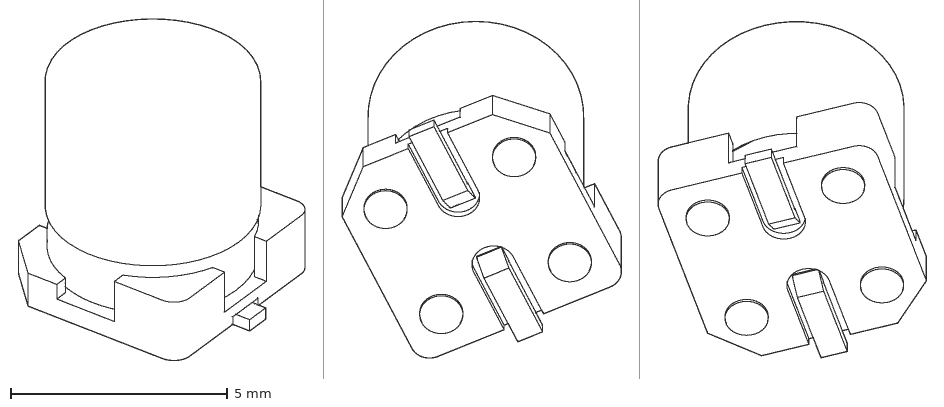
import cadquery as cq

lead_span = 6.0
base_side = 5.3
total_height = 5.8

base_bottom = 0.145
corner_top = 1.05
wall_top = 1.745
notch_floor = 0.65
notch_width = 1.645
corner_chamfer = 1.0
corner_radius = 0.45

can_diameter = 5.0
neck_diameter = 4.45
collar_diameter = 4.9
rim_radius = 0.25
collar_shoulder = 1.48
neck_bottom = 1.79
neck_top = 1.88
barrel_bottom = 2.18

foot_diameter = 1.0
foot_bottom = 0.07
foot_spacing_y = 3.275
foot_x_positions = (-1.435, 1.64)

lead_width = 0.635
lead_thickness = 0.31
lead_heel_x = 1.135
lead_bend_run = 0.19
pocket_width = 1.0
pocket_roof = 0.355
pocket_end_x = 0.48


def make_base():
    """Square base with two chamfered and two rounded corners and a round seat for the can."""
    block = (
        cq.Workplane("XY", origin=(0, 0, base_bottom))
        .rect(base_side, base_side)
        .extrude(wall_top - base_bottom)
        .edges("|Z and <X").chamfer(corner_chamfer)
        .edges("|Z and >X").fillet(corner_radius)
    )

    step_x = notch_width / 2
    low_length = base_side / 2 + step_x
    low_side = (
        cq.Workplane("XY", origin=(step_x - low_length / 2, 0, corner_top))
        .rect(low_length, base_side)
        .extrude(wall_top - corner_top)
    )

    notches = (
        cq.Workplane("XY", origin=(0, 0, notch_floor))
        .rect(base_side, notch_width)
        .extrude(wall_top - notch_floor)
    )
    notches = notches.union(notches.rotate((0, 0, 0), (0, 0, 1), 90))

    seat = (
        cq.Workplane("XY", origin=(0, 0, notch_floor))
        .circle(collar_diameter / 2)
        .extrude(wall_top - notch_floor)
    )
    return block.cut(low_side).cut(notches).cut(seat)


def make_can():
    """Revolved can: rounded ends and a neck joined to collar and barrel by S-curves."""
    barrel_r = can_diameter / 2
    collar_r = collar_diameter / 2
    neck_r = neck_diameter / 2
    collar_mid = ((collar_r + neck_r) / 2, (collar_shoulder + neck_bottom) / 2)
    barrel_mid = ((barrel_r + neck_r) / 2, (barrel_bottom + neck_top) / 2)
    return (
        cq.Workplane("XZ")
        .moveTo(0, notch_floor)
        .lineTo(collar_r - rim_radius, notch_floor)
        .tangentArcPoint((collar_r, notch_floor + rim_radius), relative=False)
        .lineTo(collar_r, collar_shoulder)
        .tangentArcPoint(collar_mid, relative=False)
        .tangentArcPoint((neck_r, neck_bottom), relative=False)
        .lineTo(neck_r, neck_top)
        .tangentArcPoint(barrel_mid, relative=False)
        .tangentArcPoint((barrel_r, barrel_bottom), relative=False)
        .lineTo(barrel_r, total_height - rim_radius)
        .tangentArcPoint((barrel_r - rim_radius, total_height), relative=False)
        .lineTo(0, total_height)
        .close()
        .revolve(360, (0, 0, 0), (0, 1, 0))
    )


def make_feet():
    """Four low round feet under the base."""
    foot_centres = [(x, side * foot_spacing_y / 2) for x in foot_x_positions for side in (-1, 1)]
    return (
        cq.Workplane("XY", origin=(0, 0, foot_bottom))
        .pushPoints(foot_centres)
        .circle(foot_diameter / 2)
        .extrude(base_bottom - foot_bottom)
    )


def make_pocket():
    """Pocket on the +X side, open outward and downward, with a round inner end."""
    round_x = pocket_end_x + pocket_width / 2
    outer_x = base_side / 2
    half_width = pocket_width / 2
    return (
        cq.Workplane("XY", origin=(0, 0, base_bottom))
        .moveTo(outer_x, -half_width)
        .lineTo(round_x, -half_width)
        .threePointArc((pocket_end_x, 0), (round_x, half_width))
        .lineTo(outer_x, half_width)
        .close()
        .extrude(pocket_roof - base_bottom)
    )


def make_lead():
    """Flat lead on the +X side, bent up into the pocket roof at its inner end."""
    bend_slope = base_bottom / lead_bend_run
    inner_x = lead_heel_x - lead_thickness / bend_slope
    return (
        cq.Workplane("XZ")
        .moveTo(lead_span / 2, 0)
        .lineTo(lead_heel_x, 0)
        .lineTo(inner_x, lead_thickness)
        .lineTo(inner_x, pocket_roof)
        .lineTo(lead_heel_x, pocket_roof)
        .lineTo(lead_heel_x, lead_thickness)
        .lineTo(lead_span / 2, lead_thickness)
        .close()
        .extrude(lead_width / 2, both=True)
    )


result = make_base().union(make_can()).union(make_feet())
for turn in (0, 180):
    pocket = make_pocket().rotate((0, 0, 0), (0, 0, 1), turn)
    lead = make_lead().rotate((0, 0, 0), (0, 0, 1), turn)
    result = result.cut(pocket).union(lead)